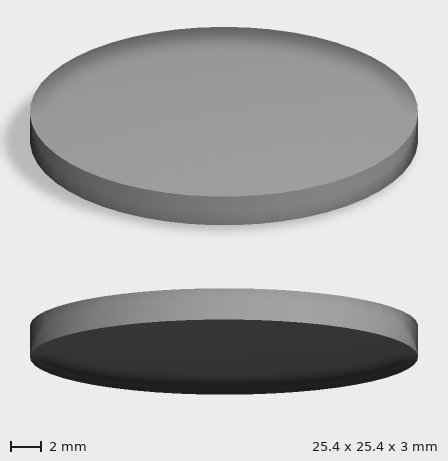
import cadquery as cq

diameter = 25.4
center_thickness = 3.0
edge_thickness = 2.08

radius = diameter / 2
half_center = center_thickness / 2
half_edge = edge_thickness / 2
sag = half_center - half_edge
sphere_radius = (radius**2 + sag**2) / (2 * sag)


def arc_height(x):
    """Height of the upper spherical face at distance x from the lens axis."""
    return half_center - sphere_radius + (sphere_radius**2 - x**2) ** 0.5


middle = radius / 2
middle_height = arc_height(middle)

half_section = (
    cq.Workplane("XZ")
    .moveTo(0, -half_center)
    .threePointArc((middle, -middle_height), (radius, -half_edge))
    .lineTo(radius, half_edge)
    .threePointArc((middle, middle_height), (0, half_center))
    .close()
)
result = half_section.revolve(360, (0, 0), (0, 1))